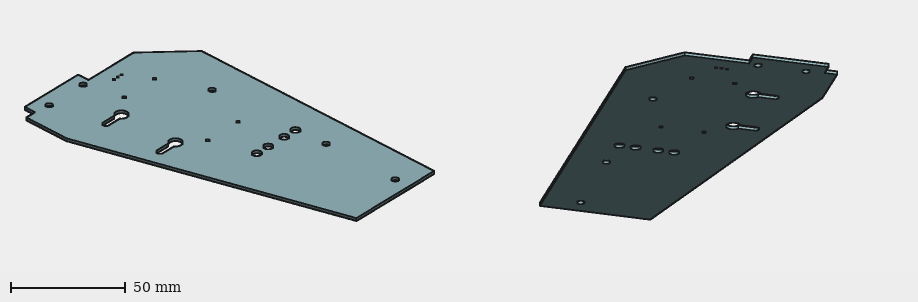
import cadquery as cq

length = 165.0
width = 90.0
thickness = 1.58

tab_depth = 6.1
tab_bottom = 5.6
tab_top = 40.0
corner_chamfer = 21.0
taper_start_x = 30.0
right_edge_bottom = tab_top

mount_diameter = 3.3
tab_hole_x = 7.0
tab_hole_ys = (13.9, 35.6)
upper_hole_y = 73.6
upper_hole_xs = (116.0, 156.9)
single_hole = (51.0, 70.8)

large_diameter = 4.5
large_column_x = 98.8
pair_pitch = 7.3
pair_lower_ys = (47.7, 65.2)

small_diameter = 1.6
small_left_x = 26.7
small_bottom_y = 40.6
small_pitch_x = 49.5
small_pitch_y = 19.5

wire_diameter = 1.0
wire_x = 14.0
wire_bottom_y = 47.7
wire_pitch = 2.5
wire_count = 3

keyhole_xs = (35.0, 67.0)
head_diameter = 6.5
head_y = 29.9
slot_width = 3.3
slot_end_y = 20.0


def make_plate():
    outline = [
        (tab_depth, 0),
        (taper_start_x, 0),
        (length, right_edge_bottom),
        (length, width),
        (tab_depth + corner_chamfer, width),
        (tab_depth, width - corner_chamfer),
        (tab_depth, tab_top),
        (0, tab_top),
        (0, tab_bottom),
        (tab_depth, tab_bottom),
    ]
    return cq.Workplane("XY").polyline(outline).close().extrude(thickness)


def hole_cutter(points, diameter):
    return cq.Workplane("XY").pushPoints(points).circle(diameter / 2).extrude(thickness)


def keyhole_cutter(x):
    head_and_slot_end = hole_cutter([(x, head_y)], head_diameter).union(
        hole_cutter([(x, slot_end_y)], slot_width)
    )
    slot_length = head_y - slot_end_y
    slot = (
        cq.Workplane("XY")
        .center(x, slot_end_y + slot_length / 2)
        .rect(slot_width, slot_length)
        .extrude(thickness)
    )
    return head_and_slot_end.union(slot)


mount_points = [(tab_hole_x, y) for y in tab_hole_ys]
mount_points += [(x, upper_hole_y) for x in upper_hole_xs]
mount_points.append(single_hole)

large_points = [
    (large_column_x, lower_y + step)
    for lower_y in pair_lower_ys
    for step in (0, pair_pitch)
]

small_points = [
    (small_left_x + dx, small_bottom_y + dy)
    for dx in (0, small_pitch_x)
    for dy in (0, small_pitch_y)
]

wire_points = [(wire_x, wire_bottom_y + i * wire_pitch) for i in range(wire_count)]

result = make_plate()
for points, diameter in (
    (mount_points, mount_diameter),
    (large_points, large_diameter),
    (small_points, small_diameter),
    (wire_points, wire_diameter),
):
    result = result.cut(hole_cutter(points, diameter))

for x in keyhole_xs:
    result = result.cut(keyhole_cutter(x))